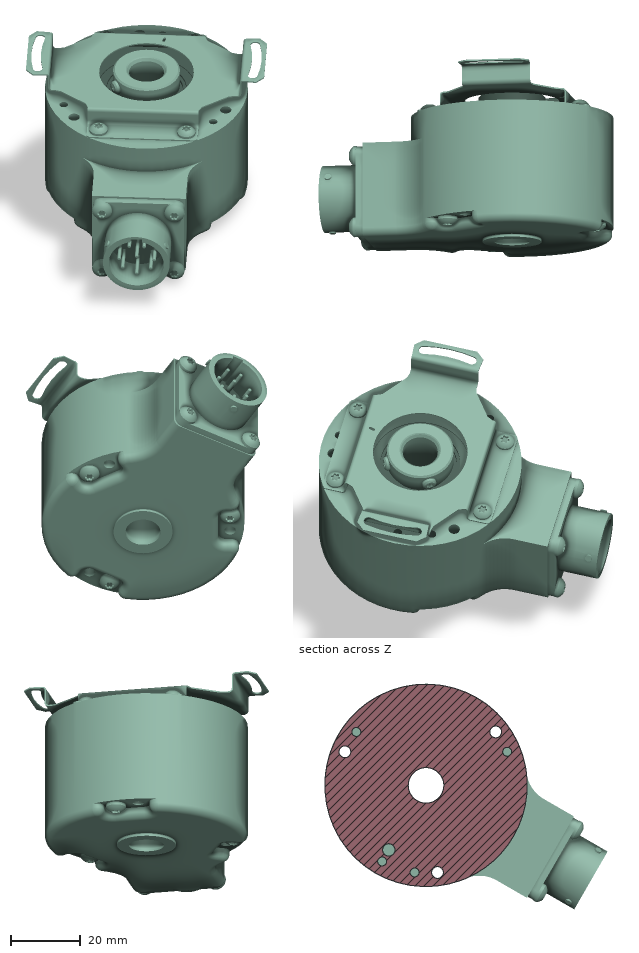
import cadquery as cq
import math

CONNECTOR_DIRECTION = -30.0

OVERLAP = 0.8

HOUSING_RADIUS = 29.0
HOUSING_HEIGHT = 35.1
BOTTOM_ROUND = 2.0
BOX_HALF_WIDTH = 13.4
BOX_END = 41.1
BOX_HEIGHT = 2 * BOX_HALF_WIDTH
BOX_BLEND_RADIUS = 10.0

RECESS_ANGLES = (-60, 60, 180)
RECESS_HEIGHT = 3.2
RECESS_HALF_WIDTH = 6.7
RECESS_INNER_RADIUS = 21.45
RECESS_CORNER = 2.4
RECESS_MOUTH_ROUND = 2.2

PITCH_RADIUS = 25.1
HOLE_OFFSET_ANGLE = 7.5
THROUGH_HOLE_RADIUS = 1.6
BLIND_HOLE_RADIUS = 1.2
BLIND_HOLE_DEPTH = 6.5
LOCATING_HOLE_RADIUS = 1.7
LOCATING_PITCH_RADIUS = 21.3
LOCATING_ANGLE = -90

SHAFT_RADIUS = 8.4
SHAFT_PROJECTION = 0.8
COLLAR_RADIUS = 9.55
COLLAR_BOTTOM = HOUSING_HEIGHT + 0.65
COLLAR_TOP = 41.5
COLLAR_CHAMFER = 0.5
BORE_RADIUS = 5.0
BORE_LEAD_RADIUS = 5.6
BORE_LEAD_DEPTH = 1.05
BORE_MOUTH_RADIUS = 5.9
BORE_MOUTH_DEPTH = 0.25
BEARING_RECESS_RADIUS = 11.4
BEARING_SEAT_RADIUS = 10.5
BEARING_STEP = 0.8
TOP_RELIEF_RADIUS = 13.9
TOP_RELIEF_DEPTH = 0.25
SET_SCREW_RADIUS = 2.0
SET_SCREW_START = BORE_RADIUS + OVERLAP
SET_SCREW_REACH = 10.7
SET_SCREW_HEIGHT = 38.3
SET_SCREW_CHAMFER = 0.5
SET_SCREW_HEX = 1.95
SET_SCREW_HEX_DEPTH = 1.2
SET_SCREW_ANGLES = (-60, 210)

SHEET = 0.4
CREST_BEND = 0.7
VALLEY_BEND = 1.05
PLATE_TOP = 40.5
TAB_TOP = 46.1
COUPLING_HOLE_RADIUS = 13.5
FOOT_WALL = 18.05
FOOT_EDGE = 24.85
FOOT_HALF_LENGTH = 15.9
TAB_WALL = 27.45
TAB_EDGE = 34.1
TAB_HALF_WIDTH = 9.9
TAB_SHOULDER = (10.2, 31.9)
TAB_CORNER_HALF_WIDTH = 7.85
PLATE_NECK = (15.55, 16.7)
PLATE_SHOULDER = (10.3, 24.0)
TAB_ROOT = 25.5
TAB_SLOT_RADIUS = 31.6
TAB_SLOT_HALF_ANGLE = 13.1
TAB_SLOT_WIDTH = 2.75
MARK_CENTRE = (-15.4, 4.2)
MARK_SIZE = (1.95, 0.8)
MARK_ANGLE = -12

COUPLING_SCREW_ANGLES = (30, 150, 210, 330)
COUPLING_HEAD_RADIUS = 2.6
COUPLING_HEAD_HEIGHT = 1.8
FLANGE_HEAD_RADIUS = 2.8
FLANGE_HEAD_HEIGHT = 2.2
HEAD_RIM_SHARE = 0.4
BOTTOM_HEAD_RADIUS = 2.8
BOTTOM_HEAD_HEIGHT = 2.1
DRIVE_RADIUS = 1.3
DRIVE_LOBE_RADIUS = 0.365
DRIVE_DEPTH = 0.8

FLANGE_THICKNESS = 2.0
FLANGE_HALF_WIDTH = 13.0
FLANGE_CORNER = 2.5
FLANGE_SCREW_OFFSET = 10.4
FLANGE_FACE = BOX_END + FLANGE_THICKNESS
CONNECTOR_DROP = 0.2
CONNECTOR_HEIGHT = BOX_HEIGHT / 2 - CONNECTOR_DROP
CONNECTOR_RADIUS = 9.55
CONNECTOR_END = 54.5
SOCKET_RADIUS = 7.85
SOCKET_FLOOR = 44.5
KEYWAY_RADIUS = 8.7
KEYWAY_WIDTH = 3.2
PIN_RADIUS = 0.53
PIN_TIP = 52.7
PIN_CIRCLE_RADIUS = 5.0
PIN_ANGLES = (0, 65, 115, 180, 217, 270, 323)
CENTRE_PIN_OFFSET = 1.05
BAYONET_RADIUS = 1.0
BAYONET_REACH = 10.0
BAYONET_POSITION = 52.0
BAYONET_ANGLES = (30, 150, 270)


def polar(radius, angle):
    return radius * math.cos(math.radians(angle)), radius * math.sin(math.radians(angle))


def cylinder(radius, bottom, top, centre=(0, 0)):
    return cq.Workplane().workplane(offset=bottom).center(*centre).circle(radius).extrude(top - bottom)


def to_connector_axis(shape):
    """Turn a shape built along +Z so that it lies along the connector axis, local X becoming Y."""
    shape = shape.rotate((0, 0, 0), (0, 0, 1), 90)
    return shape.rotate((0, 0, 0), (0, 1, 0), 90).translate((0, 0, CONNECTOR_HEIGHT))


def pan_head(radius, height):
    """Domed screw head standing on Z = 0 with a six-lobed drive."""
    rim = HEAD_RIM_SHARE * height
    dome = height - rim
    centre = (radius**2 - DRIVE_RADIUS**2 - dome**2) / (2 * dome)
    centre_height = rim - centre
    sphere_radius = math.hypot(radius, centre)
    middle_angle = (math.atan2(centre, radius) + math.atan2(height - centre_height, DRIVE_RADIUS)) / 2
    middle = (
        sphere_radius * math.cos(middle_angle),
        centre_height + sphere_radius * math.sin(middle_angle),
    )
    head = (
        cq.Workplane("XZ")
        .lineTo(radius, 0)
        .lineTo(radius, rim)
        .threePointArc(middle, (DRIVE_RADIUS, height))
        .lineTo(0, height)
        .close()
        .revolve(360, (0, 0), (0, 1))
    )
    drive_bottom = height - DRIVE_DEPTH
    drive = cylinder(DRIVE_RADIUS - DRIVE_LOBE_RADIUS, drive_bottom, height)
    for lobe in range(6):
        centre = polar(DRIVE_RADIUS - DRIVE_LOBE_RADIUS, 60 * lobe)
        drive = drive.union(cylinder(DRIVE_LOBE_RADIUS, drive_bottom, height, centre))
    return head.cut(drive)


def connector_box():
    """Side box whose walls sweep tangentially into the round housing."""
    blend_offset = BOX_HALF_WIDTH + BOX_BLEND_RADIUS
    blend_x = math.sqrt((HOUSING_RADIUS + BOX_BLEND_RADIUS) ** 2 - blend_offset**2)
    direction = math.degrees(math.atan2(blend_offset, blend_x))
    start_x, start_y = polar(HOUSING_RADIUS, direction)
    middle_angle = (direction + 180 + 270) / 2
    step_x, step_y = polar(BOX_BLEND_RADIUS, middle_angle)
    middle_x, middle_y = blend_x + step_x, blend_offset + step_y
    return (
        cq.Workplane()
        .moveTo(0, start_y)
        .lineTo(start_x, start_y)
        .threePointArc((middle_x, middle_y), (blend_x, BOX_HALF_WIDTH))
        .lineTo(BOX_END, BOX_HALF_WIDTH)
        .lineTo(BOX_END, -BOX_HALF_WIDTH)
        .lineTo(blend_x, -BOX_HALF_WIDTH)
        .threePointArc((middle_x, -middle_y), (start_x, -start_y))
        .lineTo(0, -start_y)
        .close()
        .extrude(BOX_HEIGHT)
    )


def screw_recess(angle):
    length = HOUSING_RADIUS - RECESS_INNER_RADIUS + RECESS_CORNER
    return (
        cq.Workplane()
        .center(RECESS_INNER_RADIUS + length / 2, 0)
        .rect(length, 2 * RECESS_HALF_WIDTH)
        .extrude(RECESS_HEIGHT)
        .edges("|Z and <X")
        .fillet(RECESS_CORNER)
        .rotate((0, 0, 0), (0, 0, 1), angle)
    )


def housing():
    body = cylinder(HOUSING_RADIUS, 0, HOUSING_HEIGHT).union(connector_box())
    for angle in RECESS_ANGLES:
        body = body.cut(screw_recess(angle))
    mouth_edges = [
        edge
        for edge in body.edges("|Z").vals()
        if edge.Length() < BOX_HEIGHT and math.hypot(edge.Center().x, edge.Center().y) > PITCH_RADIUS
    ]
    body = body.newObject(mouth_edges).fillet(RECESS_MOUTH_ROUND)
    end_edge = cq.selectors.BoxSelector(
        (BOX_END - OVERLAP, -BOX_HALF_WIDTH, -OVERLAP),
        (BOX_END + OVERLAP, BOX_HALF_WIDTH, OVERLAP),
    )
    body = body.faces("<Z").edges(cq.selectors.InverseSelector(end_edge)).fillet(BOTTOM_ROUND)

    body = body.cut(cylinder(TOP_RELIEF_RADIUS, HOUSING_HEIGHT - TOP_RELIEF_DEPTH, HOUSING_HEIGHT))
    body = body.cut(cylinder(BEARING_RECESS_RADIUS, HOUSING_HEIGHT - BEARING_STEP, HOUSING_HEIGHT))
    body = body.cut(cylinder(BEARING_SEAT_RADIUS, HOUSING_HEIGHT - 2 * BEARING_STEP, HOUSING_HEIGHT))

    blind_bottom = HOUSING_HEIGHT - BLIND_HOLE_DEPTH
    for angle in RECESS_ANGLES:
        through = polar(PITCH_RADIUS, angle + HOLE_OFFSET_ANGLE)
        blind = polar(PITCH_RADIUS, angle - HOLE_OFFSET_ANGLE)
        body = body.cut(cylinder(THROUGH_HOLE_RADIUS, 0, HOUSING_HEIGHT, through))
        body = body.cut(cylinder(BLIND_HOLE_RADIUS, blind_bottom, HOUSING_HEIGHT, blind))
    spare = polar(PITCH_RADIUS, LOCATING_ANGLE)
    locating = polar(LOCATING_PITCH_RADIUS, LOCATING_ANGLE)
    body = body.cut(cylinder(BLIND_HOLE_RADIUS, blind_bottom, HOUSING_HEIGHT, spare))
    body = body.cut(cylinder(LOCATING_HOLE_RADIUS, blind_bottom, HOUSING_HEIGHT, locating))

    bottom_head = pan_head(BOTTOM_HEAD_RADIUS, BOTTOM_HEAD_HEIGHT).rotate((0, 0, 0), (1, 0, 0), 180)
    for angle in RECESS_ANGLES:
        x, y = polar(PITCH_RADIUS, angle - HOLE_OFFSET_ANGLE)
        body = body.union(bottom_head.translate((x, y, RECESS_HEIGHT)))
    return body


def set_screw(angle):
    screw = (
        cylinder(SET_SCREW_RADIUS, SET_SCREW_START, SET_SCREW_REACH)
        .faces(">Z")
        .chamfer(SET_SCREW_CHAMFER)
        .faces(">Z")
        .workplane()
        .polygon(6, SET_SCREW_HEX)
        .cutBlind(-SET_SCREW_HEX_DEPTH)
    )
    screw = screw.rotate((0, 0, 0), (0, 1, 0), 90).translate((0, 0, SET_SCREW_HEIGHT))
    return screw.rotate((0, 0, 0), (0, 0, 1), angle)


def shaft():
    collar = cylinder(COLLAR_RADIUS, COLLAR_BOTTOM, COLLAR_TOP).faces(">Z").edges().chamfer(COLLAR_CHAMFER)
    hub = cylinder(SHAFT_RADIUS, -SHAFT_PROJECTION, COLLAR_TOP - COLLAR_CHAMFER).union(collar)
    for angle in SET_SCREW_ANGLES:
        hub = hub.union(set_screw(angle))
    return hub


def bore():
    """Through bore with a tapered lead-in and a chamfered mouth."""
    return (
        cq.Workplane("XZ")
        .moveTo(0, -SHAFT_PROJECTION)
        .lineTo(BORE_RADIUS, -SHAFT_PROJECTION)
        .lineTo(BORE_RADIUS, COLLAR_TOP - BORE_LEAD_DEPTH)
        .lineTo(BORE_LEAD_RADIUS, COLLAR_TOP - BORE_MOUTH_DEPTH)
        .lineTo(BORE_MOUTH_RADIUS, COLLAR_TOP)
        .lineTo(0, COLLAR_TOP)
        .close()
        .revolve(360, (0, 0), (0, 1))
    )


def jogged_strip(start, wall, end, half_width, top_level):
    """Sheet strip running out along +X at plate level, turning along a wall to another level."""
    level = PLATE_TOP - SHEET / 2
    new_level = top_level - SHEET / 2
    rises = new_level > level
    direction = 1 if rises else -1
    first = VALLEY_BEND if rises else CREST_BEND
    second = CREST_BEND if rises else VALLEY_BEND
    bend_middle = 1 - math.sqrt(0.5)
    first_middle = (wall - first * bend_middle, level + direction * first * bend_middle)
    second_middle = (wall + second * bend_middle, new_level - direction * second * bend_middle)
    path = (
        cq.Workplane("XZ")
        .moveTo(start, level)
        .lineTo(wall - first, level)
        .threePointArc(first_middle, (wall, level + direction * first))
        .lineTo(wall, new_level - direction * second)
        .threePointArc(second_middle, (wall + second, new_level))
        .lineTo(end, new_level)
    )
    section = cq.Workplane("YZ", origin=(start, 0, level)).rect(2 * half_width, SHEET)
    return section.sweep(path)


def coupling_outline():
    """Plan outline of the coupling, one quarter mirrored about both axes."""
    foot_corner = math.sqrt(HOUSING_RADIUS**2 - FOOT_EDGE**2)
    foot_end = math.sqrt(HOUSING_RADIUS**2 - FOOT_HALF_LENGTH**2)
    quarter = [
        (FOOT_EDGE, foot_corner),
        (foot_end, FOOT_HALF_LENGTH),
        (FOOT_WALL - CREST_BEND, FOOT_HALF_LENGTH),
        PLATE_NECK,
        PLATE_SHOULDER,
        (TAB_HALF_WIDTH, TAB_ROOT),
        (TAB_HALF_WIDTH, TAB_WALL + CREST_BEND),
        TAB_SHOULDER,
        (TAB_CORNER_HALF_WIDTH, TAB_EDGE),
    ]
    upper = quarter + [(-x, y) for x, y in reversed(quarter)]
    return upper + [(-x, -y) for x, y in upper]


def tab_slot():
    """Curved slot about the shaft axis, centred on +X."""
    half = TAB_SLOT_WIDTH / 2
    outer, inner = TAB_SLOT_RADIUS + half, TAB_SLOT_RADIUS - half
    angle = TAB_SLOT_HALF_ANGLE
    cap_angle = math.degrees(half / TAB_SLOT_RADIUS)
    return (
        cq.Workplane()
        .workplane(offset=PLATE_TOP)
        .moveTo(*polar(inner, -angle))
        .threePointArc(polar(inner, 0), polar(inner, angle))
        .threePointArc(polar(TAB_SLOT_RADIUS, angle + cap_angle), polar(outer, angle))
        .threePointArc(polar(outer, 0), polar(outer, -angle))
        .threePointArc(polar(TAB_SLOT_RADIUS, -angle - cap_angle), polar(inner, -angle))
        .close()
        .extrude(TAB_TOP - PLATE_TOP)
    )


def coupling():
    flat_length = 2 * (FOOT_WALL - CREST_BEND)
    flat_width = 2 * (TAB_WALL - VALLEY_BEND)
    sheet = cq.Workplane().workplane(offset=PLATE_TOP - SHEET).rect(flat_length, flat_width).extrude(SHEET)
    foot_top = HOUSING_HEIGHT + SHEET
    foot = jogged_strip(COUPLING_HOLE_RADIUS, FOOT_WALL, HOUSING_RADIUS, FOOT_HALF_LENGTH, foot_top)
    tab = jogged_strip(COUPLING_HOLE_RADIUS, TAB_WALL, TAB_EDGE, TAB_SHOULDER[0], TAB_TOP).cut(tab_slot())
    for angle in (0, 180):
        sheet = sheet.union(foot.rotate((0, 0, 0), (0, 0, 1), angle))
        sheet = sheet.union(tab.rotate((0, 0, 0), (0, 0, 1), angle + 90))
    sheet = sheet.intersect(cq.Workplane().polyline(coupling_outline()).close().extrude(TAB_TOP))
    sheet = sheet.cut(cylinder(COUPLING_HOLE_RADIUS, PLATE_TOP - SHEET, PLATE_TOP))
    mark = (
        cq.Workplane()
        .workplane(offset=PLATE_TOP - SHEET)
        .center(*MARK_CENTRE)
        .transformed(rotate=(0, 0, MARK_ANGLE))
        .slot2D(*MARK_SIZE)
        .extrude(SHEET)
    )
    sheet = sheet.cut(mark)
    head = pan_head(COUPLING_HEAD_RADIUS, COUPLING_HEAD_HEIGHT)
    for angle in COUPLING_SCREW_ANGLES:
        x, y = polar(PITCH_RADIUS, angle)
        sheet = sheet.union(head.translate((x, y, foot_top)))
    return sheet


def connector():
    """Flanged round connector, built along +Z and laid onto the end of the box."""
    flange_width = 2 * FLANGE_HALF_WIDTH
    plug = (
        cq.Workplane()
        .workplane(offset=BOX_END)
        .rect(flange_width, flange_width)
        .extrude(FLANGE_THICKNESS)
        .edges("|Z")
        .fillet(FLANGE_CORNER)
    )
    plug = plug.union(cylinder(CONNECTOR_RADIUS, FLANGE_FACE, CONNECTOR_END))
    for angle in BAYONET_ANGLES:
        stud = cylinder(BAYONET_RADIUS, SOCKET_RADIUS + OVERLAP, BAYONET_REACH)
        stud = stud.rotate((0, 0, 0), (0, 1, 0), 90).translate((0, 0, BAYONET_POSITION))
        plug = plug.union(stud.rotate((0, 0, 0), (0, 0, 1), angle))
    plug = plug.cut(cylinder(SOCKET_RADIUS, SOCKET_FLOOR, CONNECTOR_END))
    keyway = (
        cq.Workplane()
        .workplane(offset=SOCKET_FLOOR)
        .center(0, KEYWAY_RADIUS / 2)
        .rect(KEYWAY_WIDTH, KEYWAY_RADIUS)
        .extrude(CONNECTOR_END - SOCKET_FLOOR)
    )
    plug = plug.cut(keyway)
    pin_centres = [polar(PIN_CIRCLE_RADIUS, angle) for angle in PIN_ANGLES]
    for centre in pin_centres + [(0, CENTRE_PIN_OFFSET)]:
        pin = cylinder(PIN_RADIUS, SOCKET_FLOOR, PIN_TIP, centre).faces(">Z").edges().fillet(PIN_RADIUS / 2)
        plug = plug.union(pin)
    head = pan_head(FLANGE_HEAD_RADIUS, FLANGE_HEAD_HEIGHT)
    for x in (-FLANGE_SCREW_OFFSET, FLANGE_SCREW_OFFSET):
        for y in (-FLANGE_SCREW_OFFSET, FLANGE_SCREW_OFFSET):
            plug = plug.union(head.translate((x, y, FLANGE_FACE)))
    return to_connector_axis(plug)


encoder = housing().union(shaft()).cut(bore()).union(coupling()).union(connector())
result = encoder.rotate((0, 0, 0), (0, 0, 1), CONNECTOR_DIRECTION)